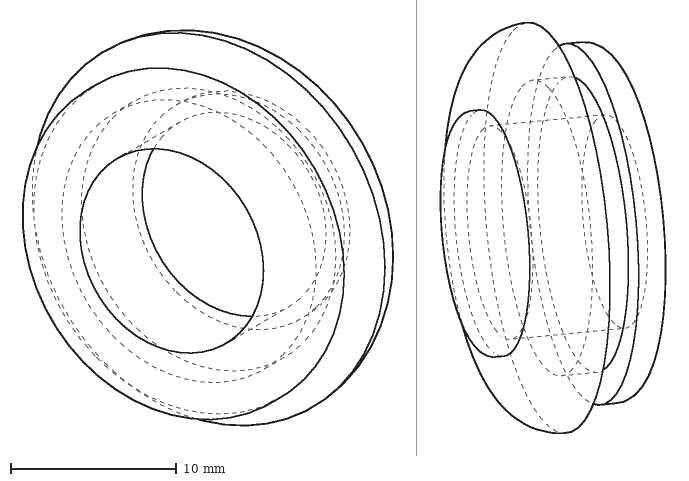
import cadquery as cq

front_flange_diameter = 22.0
front_flange_thickness = 2.0
front_flange_fillet = 1.0

neck_diameter = 18.0
neck_length = 2.3

main_flange_diameter = 25.0
main_flange_thickness = 3.5

cap_diameter = 15.0
cap_thickness = 1.0
cap_fillet = 0.5

bore_diameter = 13.0
bore_depth = 7.3

neck_start = front_flange_thickness
main_flange_start = neck_start + neck_length
cap_start = main_flange_start + main_flange_thickness


def disc(diameter, start, length):
    """Cylinder on the Y axis, extending from start towards +Y."""
    return cq.Workplane("XZ").workplane(offset=-start).circle(diameter / 2).extrude(-length)


front_flange = disc(front_flange_diameter, 0, front_flange_thickness)
front_flange = front_flange.faces("<Y").edges().fillet(front_flange_fillet)

neck = disc(neck_diameter, neck_start, neck_length)

main_flange_radius = main_flange_diameter / 2
main_flange_face_radius = main_flange_radius - main_flange_thickness
rim_offset = main_flange_thickness * 0.5 ** 0.5
main_flange = (
    cq.Workplane("XY")
    .moveTo(0, main_flange_start)
    .lineTo(main_flange_radius, main_flange_start)
    .threePointArc(
        (main_flange_face_radius + rim_offset, main_flange_start + rim_offset),
        (main_flange_face_radius, cap_start),
    )
    .lineTo(0, cap_start)
    .close()
    .revolve(360, (0, 0, 0), (0, 1, 0))
)

cap = disc(cap_diameter, cap_start, cap_thickness)
cap = cap.faces(">Y").edges().fillet(cap_fillet)

bore = disc(bore_diameter, 0, bore_depth)

result = front_flange.union(neck).union(main_flange).union(cap).cut(bore)